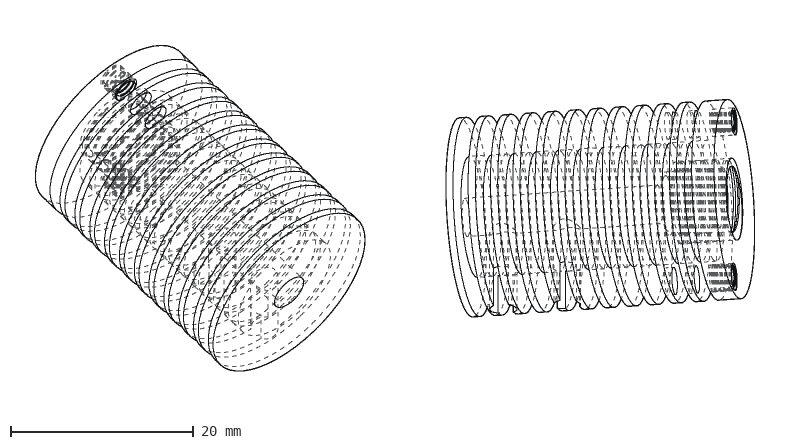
import cadquery as cq
import math

length = 30.0
outer_diameter = 21.9
core_diameter = 13.3
pitch_count = 12
fin_pitch = length / pitch_count
fin_thickness = 0.8
flange_thickness = fin_pitch

socket_diameter = 9.0
socket_depth = 6.3
pocket_diameter = 7.0
pocket_depth = 7.5
bore_diameter = 4.2
bore_chamfer = 1.0

screw_diameter = 3.0
screw_offsets = (9.0, -9.0)
drilled_fins = 2
screw_hole_depth = flange_thickness + drilled_fins * fin_pitch

radial_diameter = 3.0
radial_positions = (18.75, 25.83)

socket_thread_pitch = 1.25
socket_crest_diameter = 7.23
socket_crest_angle = 0.0
screw_thread_pitch = 0.5
screw_crest_diameter = 2.25
screw_crest_angle = 30.0
crest_width_share = 0.13
base_width_share = 0.8
trim_share = 0.05


def rod(diameter, start, end, z=0.0):
    """Cylinder along X from start to end, its axis at height z."""
    return (
        cq.Workplane("YZ", origin=(start, 0, z))
        .circle(diameter / 2)
        .extrude(end - start)
    )


def stepped_bore():
    socket_radius = socket_diameter / 2
    pocket_radius = pocket_diameter / 2
    bore_radius = bore_diameter / 2
    return (
        cq.Workplane("XY")
        .lineTo(0, socket_radius)
        .lineTo(socket_depth, socket_radius)
        .lineTo(socket_depth, pocket_radius)
        .lineTo(pocket_depth, pocket_radius)
        .lineTo(pocket_depth, bore_radius + bore_chamfer)
        .lineTo(pocket_depth + bore_chamfer, bore_radius)
        .lineTo(length, bore_radius)
        .lineTo(length, 0)
        .close()
        .revolve(360, (0, 0, 0), (1, 0, 0))
    )


def radial_hole(x):
    return (
        cq.Workplane("XY", origin=(x, 0, 0))
        .circle(radial_diameter / 2)
        .extrude(-outer_diameter / 2)
    )


def make_heat_sink():
    body = rod(core_diameter, 0, length)
    body = body.union(rod(outer_diameter, 0, flange_thickness))
    for number in range(2, pitch_count + 1):
        fin_end = number * fin_pitch
        body = body.union(rod(outer_diameter, fin_end - fin_thickness, fin_end))
    body = body.cut(stepped_bore())
    for z in screw_offsets:
        body = body.cut(rod(screw_diameter, 0, screw_hole_depth, z))
    for x in radial_positions:
        body = body.cut(radial_hole(x))
    return body


def make_thread_coil(hole_diameter, crest_diameter, pitch, depth, crest_angle, z=0.0):
    """Helical ridge inside a hole, trimmed flush with the hole's wall and both its ends.

    crest_angle turns the point where the crest meets X = 0 about the hole's axis, from +Z toward -Y.
    """
    crest_radius = crest_diameter / 2
    wall_radius = hole_diameter / 2
    half_crest = crest_width_share * pitch / 2
    half_base = base_width_share * pitch / 2
    trim = trim_share * pitch
    half_foot = half_base + trim * (half_base - half_crest) / (wall_radius - crest_radius)
    foot_radius = wall_radius + trim

    turns = math.ceil(depth / pitch) + 2
    helix = cq.Wire.makeHelix(pitch, turns * pitch, wall_radius)
    ridge = (
        cq.Workplane("XZ")
        .moveTo(crest_radius, -half_crest)
        .lineTo(foot_radius, -half_foot)
        .lineTo(foot_radius, half_foot)
        .lineTo(crest_radius, half_crest)
        .close()
        .sweep(cq.Workplane(helix), isFrenet=True)
        .translate((0, 0, -pitch))
        .rotate((0, 0, 0), (0, 1, 0), 90)
        .rotate((0, 0, 0), (1, 0, 0), 180 + crest_angle)
        .translate((0, 0, z))
    )
    return ridge.intersect(rod(hole_diameter, 0, depth, z))


heat_sink = make_heat_sink()

socket_coil = make_thread_coil(
    socket_diameter, socket_crest_diameter, socket_thread_pitch, socket_depth, socket_crest_angle
)

screw_coils = []
for z in screw_offsets:
    screw_coil = make_thread_coil(
        screw_diameter, screw_crest_diameter, screw_thread_pitch, flange_thickness, screw_crest_angle, z
    )
    screw_coils.append(screw_coil.val())

result = cq.Compound.makeCompound([heat_sink.val(), socket_coil.val(), *screw_coils])